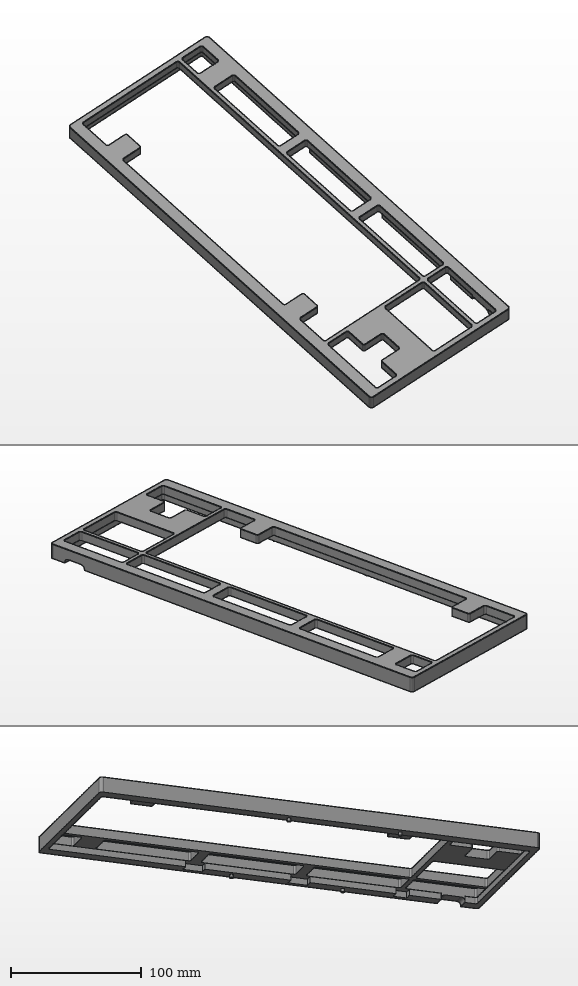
import cadquery as cq

length = 358.5
width = 140.2
total_height = 15.0
pin_height = 2.5
frame_height = total_height - pin_height
bezel_thickness = 7.5
corner_radius = 2.5
top_chamfer = 0.4

column_count = 18.25
row_count = 6.25
grid_length = 347.5
pitch = grid_length / column_count
grid_left = -grid_length / 2
grid_bottom = -row_count * pitch / 2
key_gap = 0.5
opening_radius = 1.5

main_columns = 15
function_row = 5.25
nav_start = 15.25
function_blocks = [
    (0, function_row, 1, 1),
    (2, function_row, 4, 1),
    (6.5, function_row, 4, 1),
    (11, function_row, 4, 1),
    (nav_start, function_row, 3, 1),
]
main_block = (0, 0, main_columns, 5)
nav_block = (nav_start, 3, 3, 2)
arrow_row = (nav_start, 0, 3, 1)
arrow_column = (nav_start + 1, 0, 1, 2)
blocker_columns = [1.5, 12.5]

cavity_height = frame_height - bezel_thickness
cavity_step = 0.5
cavity_margin = key_gap + cavity_step
cavity_back = -grid_bottom + cavity_margin
pocket_depth = 6.0
pocket_overhang = 3.5

port_width = 19.5
port_center = 155.3
port_height = 4.0
port_radius = 3.2

pin_diameter = 2.9
pin_x_positions = [-23.5, 67.0]
pin_y = 65.0


def cell_block(cells, margin, height):
    """Box standing on Z = 0 over a group of key cells, grown by margin on every side."""
    column, row, columns, rows = cells
    return (
        cq.Workplane("XY")
        .moveTo(grid_left + column * pitch - margin, grid_bottom + row * pitch - margin)
        .rect(columns * pitch + 2 * margin, rows * pitch + 2 * margin, centered=False)
        .extrude(height)
    )


def opening(cells):
    """Through cut that leaves the key gap around a group of keys."""
    return cell_block(cells, key_gap, frame_height)


def make_openings():
    """All key openings, with rounded vertical corners."""
    main = opening(main_block)
    for column in blocker_columns:
        main = main.cut(cell_block((column, -1, 1, 2), -key_gap, frame_height))
    arrows = opening(arrow_row).union(opening(arrow_column))
    shapes = [main, arrows, opening(nav_block)]
    shapes += [opening(cells) for cells in function_blocks]
    return [shape.edges("|Z").fillet(opening_radius) for shape in shapes]


def make_pocket(left_block, right_block):
    """Pocket in the back rail behind the rib between two function key blocks."""
    start = grid_left + (left_block[0] + left_block[2]) * pitch + key_gap - pocket_overhang
    end = grid_left + right_block[0] * pitch - key_gap + pocket_overhang
    return (
        cq.Workplane("XY")
        .moveTo((start + end) / 2, cavity_back)
        .rect(end - start, 2 * pocket_depth)
        .extrude(cavity_height)
    )


def make_cavity():
    """Hollow below the bezel, kept flush with the function row at the cable port."""
    whole_grid = (0, 0, column_count, row_count)
    cavity = cell_block(whole_grid, cavity_margin, cavity_height)
    cavity = cavity.edges("|Z").fillet(opening_radius)
    for left_block, right_block in zip(function_blocks[1:], function_blocks[2:]):
        cavity = cavity.union(make_pocket(left_block, right_block))
    port_wall = (
        cq.Workplane("XY")
        .moveTo(port_center, cavity_back)
        .rect(port_width, 2 * cavity_step)
        .extrude(cavity_height)
    )
    return cavity.cut(port_wall)


def make_port():
    """Cable port, open at the underside and rounded at its upper corners."""
    return (
        cq.Workplane("XZ", origin=(port_center, width / 2, 0))
        .rect(port_width, 2 * port_height)
        .extrude(width / 2 + grid_bottom)
        .edges("|Y")
        .fillet(port_radius)
    )


def make_pins():
    pin_centers = [(x, y) for x in pin_x_positions for y in (-pin_y, pin_y)]
    return (
        cq.Workplane("XY")
        .pushPoints(pin_centers)
        .circle(pin_diameter / 2)
        .extrude(-pin_height)
    )


frame = cq.Workplane("XY").rect(length, width).extrude(frame_height)
frame = frame.edges("|Z").fillet(corner_radius)
frame = frame.cut(make_cavity())
for key_opening in make_openings():
    frame = frame.cut(key_opening)
frame = frame.faces(">Z").edges().chamfer(top_chamfer)
frame = frame.cut(make_port())
result = frame.union(make_pins())